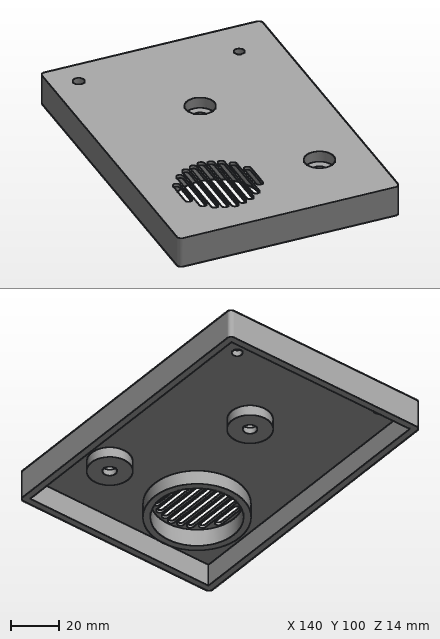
import cadquery as cq

LENGTH = 140.0
WIDTH = 100.0
HEIGHT = 14.0
CORNER_RADIUS = 2.0
WALL = 3.1
CEILING = HEIGHT - WALL

SCREW_POINTS = [(-20.0, 0.0), (38.0, 28.0)]
SCREW_DIAMETER = 6.0
HEAD_DIAMETER = 13.0
HEAD_DEPTH = 5.0
BOSS_DIAMETER = 19.0
BOSS_DEPTH = HEAD_DEPTH + WALL

PLAIN_HOLES = [(-51.8, 31.9, 4.5), (-58.0, -38.0, 5.0)]

SPEAKER_CENTER = (38.0, -17.9)
SPEAKER_DIAMETER = 38.5
RING_DIAMETER = SPEAKER_DIAMETER + 2 * WALL
RING_DEPTH = 10.0
RING_BOTTOM = HEIGHT - RING_DEPTH
GRILLE_THICKNESS = 1.5
GRILLE_BOTTOM = HEIGHT - GRILLE_THICKNESS

SLOT_WIDTH = 3.1
SLOT_LENGTHS = [37.1, 35.0, 32.0, 26.2, 15.0]
OUTER_SLOT_SPACING = 32.0
LAST_STEP = len(SLOT_LENGTHS) - 1
SLOT_PITCH = OUTER_SLOT_SPACING / (2 * LAST_STEP)


def cylinder(point, diameter, bottom, top):
    """Upright cylinder between two heights."""
    base = cq.Workplane("XY").workplane(offset=bottom).center(*point)
    return base.circle(diameter / 2).extrude(top - bottom)


def make_shell():
    """Box with rounded upright edges, hollow and open underneath."""
    outer = cq.Workplane("XY").rect(LENGTH, WIDTH).extrude(HEIGHT).edges("|Z").fillet(CORNER_RADIUS)
    cavity = cq.Workplane("XY").rect(LENGTH - 2 * WALL, WIDTH - 2 * WALL).extrude(CEILING)
    return outer.cut(cavity)


def add_screw_boss(body, point):
    """Boss under the roof with a through hole counterbored from the top."""
    bottom = HEIGHT - BOSS_DEPTH
    body = body.union(cylinder(point, BOSS_DIAMETER, bottom, HEIGHT))
    body = body.cut(cylinder(point, SCREW_DIAMETER, bottom, HEIGHT))
    return body.cut(cylinder(point, HEAD_DIAMETER, HEIGHT - HEAD_DEPTH, HEIGHT))


def add_speaker_seat(body):
    """Ring hanging from the roof, bored up to the underside of the grille."""
    body = body.union(cylinder(SPEAKER_CENTER, RING_DIAMETER, RING_BOTTOM, HEIGHT))
    return body.cut(cylinder(SPEAKER_CENTER, SPEAKER_DIAMETER, RING_BOTTOM, GRILLE_BOTTOM))


def cut_grille(body):
    """Round-ended slots through the thinned roof, shortening away from the middle one."""
    center_x, center_y = SPEAKER_CENTER
    for step in range(-LAST_STEP, LAST_STEP + 1):
        start = cq.Workplane("XY").workplane(offset=GRILLE_BOTTOM)
        start = start.center(center_x, center_y + step * SLOT_PITCH)
        slot = start.slot2D(SLOT_LENGTHS[abs(step)], SLOT_WIDTH).extrude(GRILLE_THICKNESS)
        body = body.cut(slot)
    return body


result = make_shell()
for screw_point in SCREW_POINTS:
    result = add_screw_boss(result, screw_point)
for hole_x, hole_y, hole_diameter in PLAIN_HOLES:
    result = result.cut(cylinder((hole_x, hole_y), hole_diameter, CEILING, HEIGHT))
result = add_speaker_seat(result)
result = cut_grille(result)